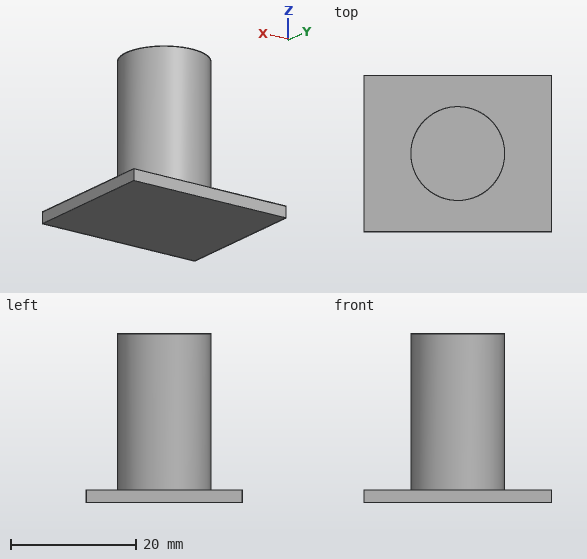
import cadquery as cq

plate_length = 30.0
plate_width = 25.0
total_height = 27.0
post_diameter = 15.0
plate_thickness = 2.0

post_height = total_height - plate_thickness


def make_plate():
    """Flat rectangular base plate with its underside at Z = 0."""
    return cq.Workplane("XY").box(
        plate_length, plate_width, plate_thickness, centered=(True, True, False)
    )


def make_post():
    """Round post standing on the middle of the plate."""
    return (
        cq.Workplane("XY")
        .workplane(offset=plate_thickness)
        .circle(post_diameter / 2)
        .extrude(post_height)
    )


plate = make_plate()
post = make_post()

result = cq.Compound.makeCompound([plate.val(), post.val()])